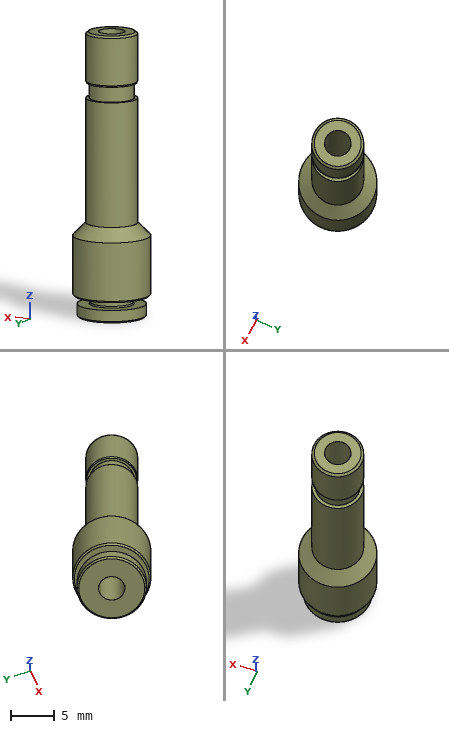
import cadquery as cq

total_height = 33.5
bore_diameter = 3.0

flange_diameter = 8.0
flange_top = 1.5
flange_chamfer_width = 0.2
flange_chamfer_height = 0.2

neck_diameter = 5.0
neck_foot_diameter = 5.2
neck_foot_height = 0.17
collar_diameter = 5.8
collar_height = 0.17

body_diameter = 9.0
body_bottom = 2.48
body_top = 9.55
body_chamfer_width = 0.2
body_chamfer_height = 0.2

stem_diameter = 6.0
groove_diameter = 5.2
groove_height = 1.8
head_height = 6.0
head_top_chamfer_width = 0.3
head_top_chamfer_height = 0.25
head_bottom_chamfer_width = 0.1
head_bottom_chamfer_height = 0.2

shoulder_height = (body_diameter - stem_diameter) / 2
shoulder_top = body_top + shoulder_height
head_bottom = total_height - head_height
groove_bottom = head_bottom - groove_height


def turned_section(bottom, top, diameter, bottom_chamfer=(0, 0), top_chamfer=(0, 0)):
    """Cylinder about Z; each chamfer is (radial width, axial height)."""
    radius = diameter / 2
    bottom_width, bottom_rise = bottom_chamfer
    top_width, top_drop = top_chamfer
    profile = cq.Workplane("XZ").moveTo(0, bottom).lineTo(radius - bottom_width, bottom)
    if bottom_rise:
        profile = profile.lineTo(radius, bottom + bottom_rise)
    if top_drop:
        profile = profile.lineTo(radius, top - top_drop)
    profile = profile.lineTo(radius - top_width, top).lineTo(0, top).close()
    return profile.revolve(360, (0, 0, 0), (0, 1, 0))


flange = turned_section(
    0, flange_top, flange_diameter,
    bottom_chamfer=(flange_chamfer_width, flange_chamfer_height),
)

neck = turned_section(flange_top, body_bottom, neck_diameter)
neck_foot = cq.Workplane("XY").add(
    cq.Solid.makeCone(
        neck_foot_diameter / 2, neck_diameter / 2, neck_foot_height, pnt=cq.Vector(0, 0, flange_top)
    )
)
collar = turned_section(body_bottom - collar_height, body_bottom, collar_diameter)

body = turned_section(
    body_bottom, shoulder_top, body_diameter,
    bottom_chamfer=(body_chamfer_width, body_chamfer_height),
    top_chamfer=(shoulder_height, shoulder_height),
)

stem = turned_section(shoulder_top, groove_bottom, stem_diameter)
groove_core = turned_section(groove_bottom, head_bottom, groove_diameter)
head = turned_section(
    head_bottom, total_height, stem_diameter,
    bottom_chamfer=(head_bottom_chamfer_width, head_bottom_chamfer_height),
    top_chamfer=(head_top_chamfer_width, head_top_chamfer_height),
)

bore = turned_section(0, total_height, bore_diameter)

result = flange
for section in (neck, neck_foot, collar, body, stem, groove_core, head):
    result = result.union(section)
result = result.cut(bore)